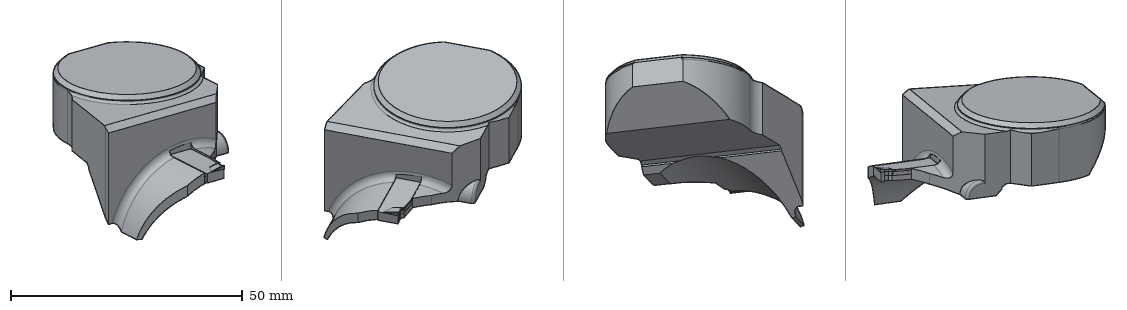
import cadquery as cq
import math


head_top = -1.7
clamp_bottom = -13.75
flank_bottom = -16.15
blade_bottom = -26.0

cap_radius = 16.05
rim_radius = 15.95
rim_chamfer = 0.95
rim_fillet = 0.6
cap_flat_x = -15.0
relief_top = -6.5

head_end_x = 21.45
back_y = 12.6
front_y = -21.05
front_corner = (3.7, -17.7)
front_corner_radius = 5.1
slant_end_x = 20.4
back_step_x = 6.45
end_chamfer_x = 1.55
end_chamfer_z = 1.2
ramp_start_x = 10.9
ramp_lip_x = 11.85
ramp_lip_top = -14.35

corner_cut_start = (15.9, back_y)
corner_cut_bend = (25.5, 4.5)
corner_cut_end = (28.45, 1.25)

foot_end_x = 20.25
foot_top = -12.25
foot_edge_radius = 0.65
foot_end_radius = 3.75

blade_end_x = 34.2
blade_outer_radius = 19.55
blade_outer_axis_z = -31.05
blade_inner_radius = 19.25
blade_inner_axis_z = -33.2
blade_fillet = 1.7
blade_root = 0.5
blade_nose_y = -9.25
blade_toe = (28.65, -18.9)

insert_start_x = 21.6
insert_end_x = 34.95
insert_front_y = -4.7
insert_back_y = 1.05
insert_top = -11.95
insert_bar_bottom = -12.9
insert_tip_bottom = -14.25
insert_corner_chamfer = 0.2
taper_start_x = 29.2
taper_end = (32.4, 0.55)
nose_wall = 0.1

chip_back = (31.45, 0.8)
chip_front = (32.4, -2.0)
chip_side = (34.7, -3.3)
chip_notch_start = (32.7, 0.6)
chip_notch_end = (33.25, 0.05)
cutting_tip = (35.1, 0.0)
main_face_slope = 0.2
lip_slope = 0.25
lip_start_x = 34.65
back_face_slope = 0.5

far = 100.2


def box(x_range, y_range, z_range):
    size = [high - low for low, high in (x_range, y_range, z_range)]
    return cq.Workplane("XY").box(*size, centered=False).translate((x_range[0], y_range[0], z_range[0]))


def prism(outline, bottom, top):
    """Upright prism over an outline in X and Y."""
    return cq.Workplane("XY").workplane(offset=bottom).polyline(outline).close().extrude(top - bottom)


def side_prism(profile):
    """Prism along Y, past both sides of the part, over a profile in X and Z."""
    return cq.Workplane("XZ").polyline(profile).close().extrude(far, both=True)


def behind_flat():
    """Everything on the +X side of the flat of the cap."""
    return box((cap_flat_x, far), (-far, far), (-far, far))


def make_rim():
    rim = cq.Workplane("XY").circle(rim_radius).extrude(head_top).faces(">Z").chamfer(rim_chamfer)
    flat_chamfer = side_prism([
        (cap_flat_x, 0),
        (cap_flat_x + rim_chamfer, 0),
        (cap_flat_x, -rim_chamfer),
    ])
    return rim.intersect(behind_flat()).cut(flat_chamfer)


def make_head_outline():
    arc_center_y = -cap_radius - front_corner_radius
    half_angle = math.asin(front_corner[0] / front_corner_radius) / 2
    arc_middle = (
        front_corner_radius * math.sin(half_angle),
        arc_center_y + front_corner_radius * math.cos(half_angle),
    )
    back_step_end_x = back_step_x + cap_radius - back_y
    return (
        cq.Workplane("XY").workplane(offset=blade_bottom)
        .moveTo(0, cap_radius)
        .threePointArc((-cap_radius, 0), (0, -cap_radius))
        .threePointArc(arc_middle, front_corner)
        .lineTo(slant_end_x, front_y)
        .lineTo(head_end_x, front_y)
        .lineTo(head_end_x, back_y)
        .lineTo(back_step_end_x, back_y)
        .lineTo(back_step_x, cap_radius)
        .close()
    )


def make_rim_fillet():
    """Concave ring between the wall of the rim and the top of the head."""
    outer = rim_radius + rim_fillet
    blend = rim_fillet * (1 - math.sqrt(0.5))
    return (
        cq.Workplane("XZ")
        .moveTo(rim_radius, head_top)
        .lineTo(outer, head_top)
        .threePointArc((rim_radius + blend, head_top + blend), (rim_radius, head_top + rim_fillet))
        .close()
        .revolve(360, (0, 0, 0), (0, 1, 0))
    )


def make_head():
    """Cap body and head in one footprint, with the rim on top."""
    footprint = make_head_outline().extrude(-blade_bottom).intersect(behind_flat())
    head = footprint.intersect(box((-far, far), (-far, far), (blade_bottom, head_top)))
    head = head.union(make_rim_fillet().intersect(footprint)).union(make_rim())
    end_chamfer = side_prism([
        (head_end_x - end_chamfer_x, head_top),
        (head_end_x, head_top),
        (head_end_x, head_top - end_chamfer_z),
    ])
    return head.cut(end_chamfer)


def make_blade():
    """Curved blade with a concave fillet where it leaves the head."""
    root_x = head_end_x - blade_root
    fillet_radius = blade_outer_radius + blade_fillet
    blend = blade_fillet * (1 - math.sqrt(0.5))
    blade = (
        cq.Workplane("XY", origin=(0, 0, blade_outer_axis_z))
        .moveTo(root_x, 0)
        .lineTo(root_x, fillet_radius)
        .lineTo(head_end_x, fillet_radius)
        .threePointArc(
            (head_end_x + blend, blade_outer_radius + blend),
            (head_end_x + blade_fillet, blade_outer_radius),
        )
        .lineTo(blade_end_x, blade_outer_radius)
        .lineTo(blade_end_x, 0)
        .close()
        .revolve(360, (0, 0, 0), (1, 0, 0))
    )
    outline = [
        (root_x, back_y),
        (blade_end_x, back_y),
        (blade_end_x, blade_nose_y),
        blade_toe,
        (blade_toe[0], front_y),
        (root_x, front_y),
    ]
    return blade.intersect(prism(outline, blade_bottom, 0))


def make_foot():
    """Low foot that stays under the slanted corner."""
    start_x = corner_cut_start[0] - (back_y - corner_cut_bend[1])
    foot = box((start_x, foot_end_x), (0, back_y), (flank_bottom, foot_top))
    foot = foot.edges(">Z and >X").fillet(foot_end_radius)
    return foot.edges(">Z and >Y").fillet(foot_edge_radius)


def make_corner_cut():
    outline = [
        corner_cut_start,
        corner_cut_bend,
        corner_cut_end,
        chip_notch_start,
        chip_notch_end,
        (insert_end_x, chip_notch_end[1]),
        (insert_end_x, far),
        (corner_cut_start[0], far),
    ]
    return prism(outline, -far, far)


def make_underside_cut():
    """Hollow under the blade and head, the flat beside it, the end ramp and the bottom of the clamp."""
    hollow = cq.Workplane("YZ").center(0, blade_inner_axis_z).circle(blade_inner_radius).extrude(far)
    flank = box((0, far), (0, far), (-far, flank_bottom))
    ramp_end_x = head_end_x + blade_fillet
    ramp_lip_bottom = blade_bottom + ramp_end_x - ramp_lip_x
    ramp = side_prism([
        (-far, clamp_bottom),
        (ramp_start_x, clamp_bottom),
        (ramp_lip_x, ramp_lip_top),
        (ramp_lip_x, ramp_lip_bottom),
        (ramp_end_x, blade_bottom),
        (ramp_end_x, -far),
        (-far, -far),
    ])
    return hollow.union(flank).union(ramp)


def make_cap_relief():
    """45 degree relief under the flat of the cap."""
    return side_prism([
        (cap_flat_x, relief_top),
        (cap_flat_x + relief_top - clamp_bottom, clamp_bottom),
        (cap_flat_x, clamp_bottom),
    ])


def make_insert_blank(bottom, top):
    """Prism over the insert's outline, also used for the room above the insert."""
    return prism([
        (insert_start_x, insert_front_y),
        (insert_end_x - insert_corner_chamfer, insert_front_y),
        (insert_end_x, insert_front_y + insert_corner_chamfer),
        (insert_end_x, cutting_tip[1]),
        (chip_notch_end[0], chip_notch_end[1] - nose_wall),
        taper_end,
        (taper_start_x, insert_back_y),
        (insert_start_x, insert_back_y),
    ], bottom, top)


def rising_wedge(start, end, slope):
    """Wedge that rises from the insert's top on the left of the line from start to end."""
    along = cq.Vector(end[0] - start[0], end[1] - start[1], 0).normalized()
    uphill = cq.Vector(-along.y, along.x, 0)
    plane = cq.Plane(origin=(*start, insert_top), xDir=uphill, normal=uphill.cross(cq.Vector(0, 0, 1)))
    wedge = cq.Workplane(plane).polyline([(0, 0), (far, 0), (far, far * slope)]).close()
    return wedge.extrude(far, both=True)


def make_chip_former():
    """Two faces that rise from the top of the insert to a narrow lip at the cutting edge."""
    outline = [
        chip_back,
        chip_front,
        chip_side,
        (insert_end_x, chip_side[1]),
        cutting_tip,
        chip_notch_end,
        chip_notch_start,
    ]
    former = prism(outline, insert_top, 0)
    lip_strip = box((lip_start_x, far), (-far, far), (-far, far))
    lip = former.intersect(lip_strip).intersect(rising_wedge(chip_front, chip_side, lip_slope))
    former = former.intersect(rising_wedge(chip_front, chip_side, main_face_slope)).union(lip)
    return former.intersect(rising_wedge(chip_back, chip_front, back_face_slope))


def make_insert():
    insert_body = make_insert_blank(insert_tip_bottom, insert_top)
    under_bar = box((0, blade_end_x), (-far, far), (-far, insert_bar_bottom))
    return insert_body.cut(under_bar).union(make_chip_former())


insert = make_insert()

holder = make_head().union(make_blade()).cut(make_corner_cut()).union(make_foot())
holder = holder.cut(make_underside_cut()).cut(make_cap_relief())
holder = holder.cut(insert).cut(make_insert_blank(insert_top, 0))

result = cq.Compound.makeCompound([*holder.solids().vals(), *insert.solids().vals()])